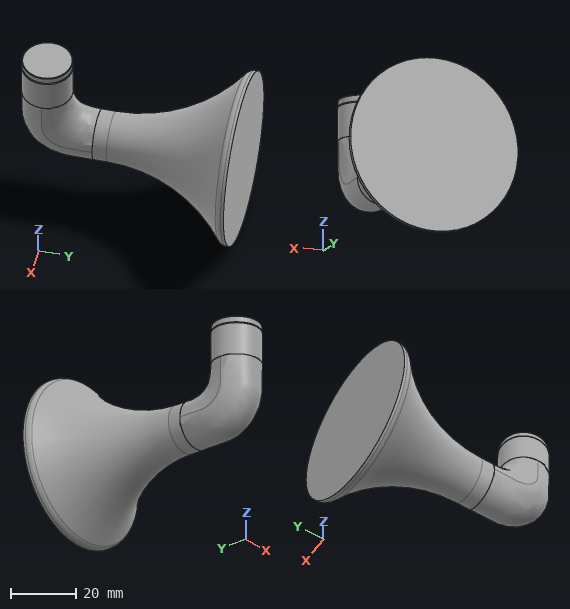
import cadquery as cq
import math

reach = 70.0
tube_radius = 8.0
flange_radius = 27.5
flange_rim = 1.0
flare_start = 2.8
flare_start_radius = 26.7
flare_end = 41.6
top_height = 29.0
cap_height = 2.0
cap_radius = 7.85
cap_chamfer = 0.2
post_chamfer_height = 0.4
post_chamfer_inset = 0.15
bend_sections = 17
half_ellipse_steps = 8

post_distance = reach - tube_radius
bend_size = 2 * tube_radius
bend_start = post_distance - bend_size
post_top = top_height - cap_height


def make_flared_arm():
    """Turned flange, trumpet flare and straight arm around the Y axis."""
    flare_length = flare_end - flare_start
    flare_drop = flare_start_radius - tube_radius
    flare_radius = (flare_length**2 + flare_drop**2) / (2 * flare_drop)
    half_angle = math.asin(flare_length / flare_radius) / 2
    flare_middle = (
        tube_radius + flare_radius * (1 - math.cos(half_angle)),
        -(flare_end - flare_radius * math.sin(half_angle)),
    )
    return (
        cq.Workplane("XY")
        .lineTo(flange_radius, 0)
        .lineTo(flange_radius, -flange_rim)
        .tangentArcPoint((flare_start_radius, -flare_start), relative=False)
        .threePointArc(flare_middle, (tube_radius, -flare_end))
        .lineTo(tube_radius, -bend_start)
        .lineTo(0, -bend_start)
        .close()
        .revolve(360, (0, 0, 0), (0, 1, 0))
    )


def distance_to_rail(angle, corner_radius):
    """Distance from the pivot to an L-shaped rail whose corner is rounded about (r, r)."""
    from_diagonal = abs(angle - math.pi / 4)
    straight_end_angle = math.atan2(tube_radius, tube_radius + corner_radius)
    from_side = math.pi / 4 - from_diagonal
    if from_side < straight_end_angle:
        return (tube_radius + corner_radius) / math.cos(from_side)
    corner_distance = tube_radius * math.sqrt(2)
    along = corner_distance * math.cos(from_diagonal)
    across = corner_distance * math.sin(from_diagonal)
    return along + math.sqrt(corner_radius**2 - across**2)


def make_bend_section(angle):
    """Closed section through the pivot: an inner and an outer half ellipse on the tube's widest line."""
    direction = cq.Vector(0, -math.sin(angle), -math.cos(angle))
    pivot = cq.Vector(0, -bend_start, bend_size)
    side = cq.Vector(tube_radius, 0, 0)
    rail_distance = distance_to_rail(angle, tube_radius)
    outer_depth = distance_to_rail(angle, 2 * tube_radius) - rail_distance
    inner_depth = rail_distance - tube_radius
    center = pivot + direction * rail_distance

    def half_ellipse(start_side, depth):
        points = []
        for step in range(half_ellipse_steps + 1):
            turn = math.pi * step / half_ellipse_steps
            points.append(center + start_side * math.cos(turn) + direction * (depth * math.sin(turn)))
        return cq.Edge.makeSpline(points, tangents=[direction * depth, direction * -depth])

    outer = half_ellipse(side, outer_depth)
    inner = half_ellipse(side * -1, -inner_depth)
    return cq.Wire.assembleEdges([outer, inner])


def make_bend():
    """Quarter-turn bend with a round inner throat and a full round outer corner."""
    last = bend_sections - 1
    sections = [make_bend_section(math.pi / 2 * i / last) for i in range(bend_sections)]
    return cq.Workplane(cq.Solid.makeLoft(sections))


def make_post():
    """Upright post with a fine tapered top edge below the cap."""
    post = (
        cq.Workplane("XY", origin=(0, -post_distance, bend_size))
        .circle(tube_radius)
        .extrude(post_top - bend_size)
    )
    return post.faces(">Z").chamfer(post_chamfer_height, post_chamfer_inset)


def make_hook():
    return make_flared_arm().union(make_bend()).union(make_post())


def make_cap():
    return (
        cq.Workplane("XY", origin=(0, -post_distance, post_top))
        .circle(cap_radius)
        .extrude(cap_height)
        .faces(">Z")
        .chamfer(cap_chamfer)
    )


hook = make_hook()
cap = make_cap()
result = cq.Compound.makeCompound([hook.val(), cap.val()])